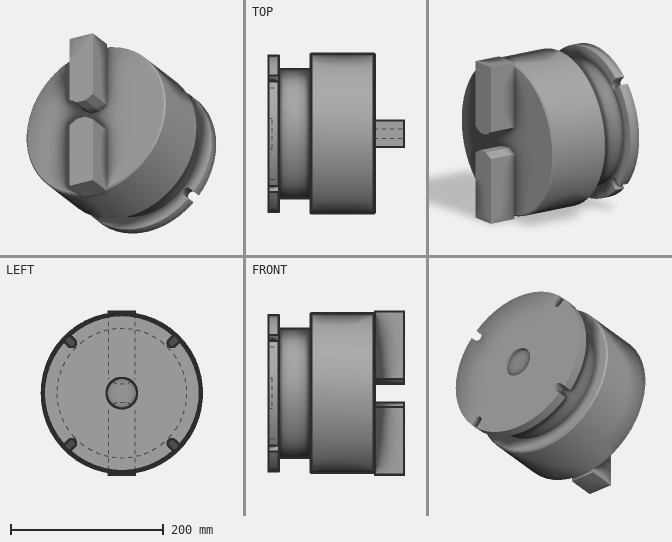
import cadquery as cq

flange_length = 14.0
neck_length = 41.0
body_length = 84.7
jaw_length = 38.3

flange_diameter = 205.0
neck_diameter = 170.0
body_diameter = 210.0
body_chamfer = 2.0
flange_chamfer = 0.6

bore_diameter = 40.0
bore_depth = 5.0

slot_width = 11.1
slot_center_radius = 92.9
slot_count = 4

jaw_width = 35.0
jaw_outer_radius = 107.0
jaw_inner_radius = 12.0
jaw_tip_width = 12.8
jaw_tip_height = 6.5

neck_start = flange_length
body_start = neck_start + neck_length
jaw_start = body_start + body_length


def disc(start, diameter, length):
    """Cylinder along X."""
    return cq.Workplane("YZ", origin=(start, 0, 0)).circle(diameter / 2).extrude(length)


def mounting_slot(angle):
    """Round-ended slot that opens through the flange rim."""
    reach = flange_diameter / 2 + slot_width - slot_center_radius
    center = cq.Workplane("YZ").center(slot_center_radius, 0)
    slot = center.circle(slot_width / 2).extrude(flange_length)
    mouth = center.center(reach / 2, 0).rect(reach, slot_width).extrude(flange_length)
    return slot.union(mouth).rotate((0, 0, 0), (1, 0, 0), angle)


def jaw():
    """Upper gripping jaw with a tapered tip towards the axis."""
    half_width = jaw_width / 2
    half_tip = jaw_tip_width / 2
    shoulder = jaw_inner_radius + jaw_tip_height
    outline = [
        (-half_tip, jaw_inner_radius),
        (half_tip, jaw_inner_radius),
        (half_width, shoulder),
        (half_width, jaw_outer_radius),
        (-half_width, jaw_outer_radius),
        (-half_width, shoulder),
    ]
    return cq.Workplane("YZ", origin=(jaw_start, 0, 0)).polyline(outline).close().extrude(jaw_length)


flange = disc(0, flange_diameter, flange_length).faces(">X").chamfer(flange_chamfer)
neck = disc(neck_start, neck_diameter, neck_length)
body = disc(body_start, body_diameter, body_length).faces("<X or >X").chamfer(body_chamfer)

result = flange.union(neck).union(body)
result = result.cut(disc(0, bore_diameter, bore_depth))

for index in range(slot_count):
    result = result.cut(mounting_slot((index + 0.5) * 360 / slot_count))

upper_jaw = jaw()
result = result.union(upper_jaw).union(upper_jaw.mirror("XY"))